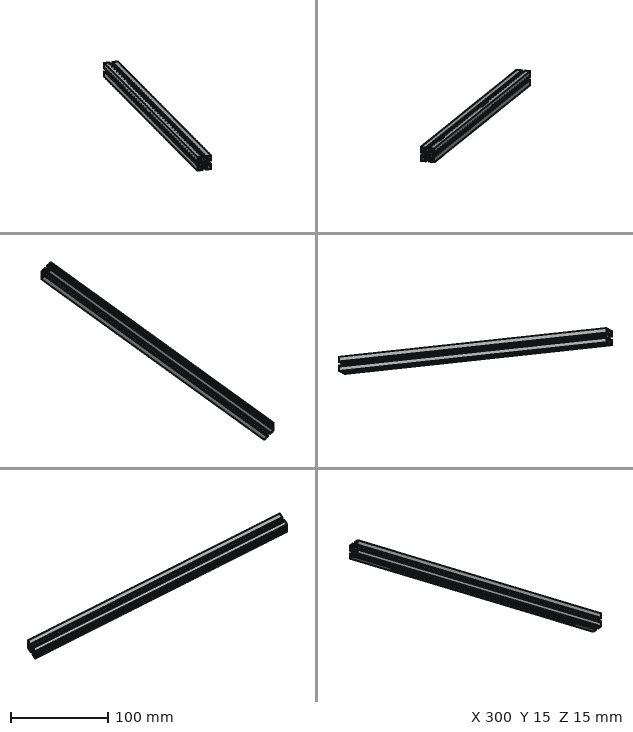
import cadquery as cq
import math

length = 300.0
side = 15.0

slot_mouth = 3.2
lip_thickness = 1.0
corner_block_side = 4.6

core_side = 4.6
web_thickness = 1.2

bore_diameter = 3.3
corner_bore_offset = 5.0

half_side = side / 2
half_mouth = slot_mouth / 2
half_core = core_side / 2
lip_inner = half_side - lip_thickness
block_inner = half_side - corner_block_side
web_shift = web_thickness / 2 * math.sqrt(2)


def slot_cutter():
    """T-slot open towards +Z, narrowing along both webs to the flat of the core."""
    right_side = [
        (half_mouth, half_side),
        (half_mouth, lip_inner),
        (block_inner, lip_inner),
        (block_inner, block_inner + web_shift),
        (half_core - web_shift, half_core),
    ]
    left_side = [(-y, z) for y, z in reversed(right_side)]
    return cq.Workplane("YZ").polyline(right_side + left_side).close().extrude(length)


def bore_cutter(y, z):
    """Round bore through the whole length, centred at (y, z)."""
    return cq.Workplane("YZ").center(y, z).circle(bore_diameter / 2).extrude(length)


bar = cq.Workplane("YZ").rect(side, side).extrude(length)

for quarter in range(4):
    bar = bar.cut(slot_cutter().rotate((0, 0, 0), (1, 0, 0), 90 * quarter))

bar = bar.cut(bore_cutter(0, 0))
for bore_y in (-corner_bore_offset, corner_bore_offset):
    for bore_z in (-corner_bore_offset, corner_bore_offset):
        bar = bar.cut(bore_cutter(bore_y, bore_z))

result = bar.translate((-length / 2, 0, 0))